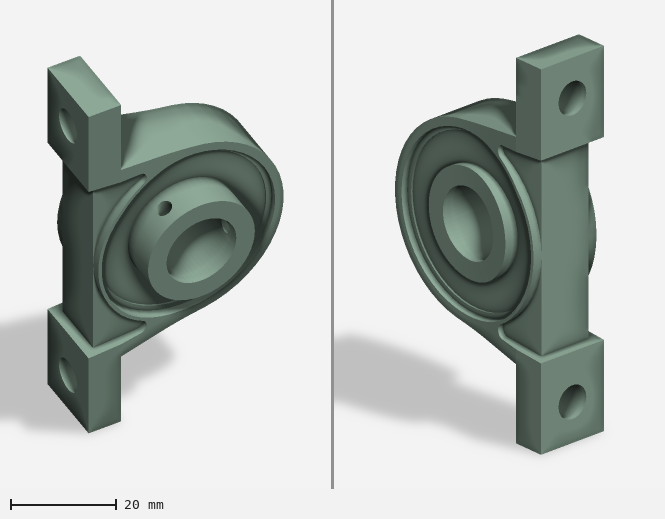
import cadquery as cq
import math

LENGTH = 80.0
FOOT_WIDTH = 16.0
FOOT_THICKNESS = 7.0
FOOT_HALF_GAP = 21.0
BOLT_DIAMETER = 7.0
BOLT_SPACING = 63.0

TOTAL_HEIGHT = 43.0
HOUSING_RADIUS = 21.0
HOUSING_WIDTH = 12.6
SHOULDER_HALF_LENGTH = 23.6
FLARE_START_Y = 26.0
FLARE_ARC_END_Y = 16.2
AXIS_Y = TOTAL_HEIGHT - HOUSING_RADIUS
AXIS_Z = LENGTH / 2

WEB_WIDTH = 12.0
WEB_BOTTOM_Y = 2.1
POCKET_SLOPE = 4.5
POCKET_FILLET = 1.5
RIM_RADIUS = AXIS_Y - WEB_BOTTOM_Y

SEAT_DIAMETER = 38.4
SEAL_DIAMETER = 36.2
COLLAR_DIAMETER = 23.0
BORE_DIAMETER = 15.0
COLLAR_END_X = 12.2
SEAT_DEPTH = 1.4
SEAL_DEPTH = 1.8
SET_SCREW_DIAMETER = 3.3
SET_SCREW_X = 8.1
SET_SCREW_ANGLES = (60, 180)
SET_SCREW_OUTER_CLEARANCE = 0.5

SIDES = (-1, 1)


def on_axis(x):
    """Workplane normal to X at x, centred on the shaft; local axes are Y and Z."""
    return cq.Workplane("YZ", origin=(x, AXIS_Y, AXIS_Z))


def shaft_cylinder(diameter, x_start, x_end):
    return on_axis(x_start).circle(diameter / 2).extrude(x_end - x_start)


def housing_outline():
    """Round top joined by tangent lines to the wider shoulders and down to the web bottom."""
    shoulder_y = FOOT_THICKNESS - AXIS_Y
    shoulder_distance = math.hypot(shoulder_y, SHOULDER_HALF_LENGTH)
    tangent_angle = (math.atan2(SHOULDER_HALF_LENGTH, shoulder_y)
                     - math.acos(HOUSING_RADIUS / shoulder_distance))
    tangent_y = HOUSING_RADIUS * math.cos(tangent_angle)
    tangent_z = HOUSING_RADIUS * math.sin(tangent_angle)
    bottom_y = WEB_BOTTOM_Y - AXIS_Y
    return (on_axis(-FOOT_WIDTH / 2)
            .moveTo(bottom_y, -SHOULDER_HALF_LENGTH)
            .lineTo(shoulder_y, -SHOULDER_HALF_LENGTH)
            .lineTo(tangent_y, -tangent_z)
            .threePointArc((HOUSING_RADIUS, 0), (tangent_y, tangent_z))
            .lineTo(shoulder_y, SHOULDER_HALF_LENGTH)
            .lineTo(bottom_y, SHOULDER_HALF_LENGTH)
            .close())


def flared_profile():
    """Cross-section in XY: narrow at the top, curving outward to the foot width."""
    narrow = HOUSING_WIDTH / 2
    wide = FOOT_WIDTH / 2
    arc_height = FLARE_START_Y - FLARE_ARC_END_Y
    slope = (wide - narrow) / (arc_height / 2 + FLARE_ARC_END_Y - FOOT_THICKNESS)
    kink = wide - slope * (FLARE_ARC_END_Y - FOOT_THICKNESS)
    return (cq.Workplane("XY")
            .moveTo(-wide, 0)
            .lineTo(wide, 0)
            .lineTo(wide, FOOT_THICKNESS)
            .lineTo(kink, FLARE_ARC_END_Y)
            .tangentArcPoint((narrow, FLARE_START_Y), relative=False)
            .lineTo(narrow, TOTAL_HEIGHT)
            .lineTo(-narrow, TOTAL_HEIGHT)
            .lineTo(-narrow, FLARE_START_Y)
            .tangentArcPoint((-kink, FLARE_ARC_END_Y), relative=False)
            .lineTo(-wide, FOOT_THICKNESS)
            .close())


def make_housing():
    body = housing_outline().extrude(FOOT_WIDTH)
    return body.intersect(flared_profile().extrude(LENGTH))


def make_foot(side):
    """Bolted foot; its inner face leans with the pocket wall."""
    inner_lean = FOOT_THICKNESS * math.tan(math.radians(POCKET_SLOPE))
    foot = (cq.Workplane("YZ", origin=(-FOOT_WIDTH / 2, 0, AXIS_Z))
            .moveTo(0, side * FOOT_HALF_GAP)
            .lineTo(0, side * LENGTH / 2)
            .lineTo(FOOT_THICKNESS, side * LENGTH / 2)
            .lineTo(FOOT_THICKNESS, side * (FOOT_HALF_GAP - inner_lean))
            .close()
            .extrude(FOOT_WIDTH))
    bolt_hole = (cq.Workplane("XZ", origin=(0, 0, AXIS_Z + side * BOLT_SPACING / 2))
                 .circle(BOLT_DIAMETER / 2)
                 .extrude(-FOOT_THICKNESS))
    return foot.cut(bolt_hole)


def pocket_outline(x):
    """Region under the bearing rim, bounded by the leaning walls and rounded ends."""
    slope = math.radians(POCKET_SLOPE)
    offset = (FOOT_HALF_GAP - AXIS_Y * math.tan(slope)) * math.cos(slope) - POCKET_FILLET
    reach = RIM_RADIUS + POCKET_FILLET
    centre_angle = math.pi / 2 - slope + math.acos(offset / reach)
    centre_y = reach * math.cos(centre_angle)
    centre_z = reach * math.sin(centre_angle)
    rim_y = RIM_RADIUS * math.cos(centre_angle)
    rim_z = RIM_RADIUS * math.sin(centre_angle)
    wall_y = centre_y + POCKET_FILLET * math.sin(slope)
    wall_z = centre_z + POCKET_FILLET * math.cos(slope)
    tip_y = centre_y + POCKET_FILLET
    return (on_axis(x)
            .moveTo(-AXIS_Y, -FOOT_HALF_GAP)
            .lineTo(wall_y, -wall_z)
            .threePointArc((tip_y, -centre_z), (rim_y, -rim_z))
            .threePointArc((-RIM_RADIUS, 0), (rim_y, rim_z))
            .threePointArc((tip_y, centre_z), (wall_y, wall_z))
            .lineTo(-AXIS_Y, FOOT_HALF_GAP)
            .close())


def cut_pockets(body):
    depth = (FOOT_WIDTH - WEB_WIDTH) / 2
    for x in (-FOOT_WIDTH / 2, WEB_WIDTH / 2):
        body = body.cut(pocket_outline(x).extrude(depth))
    return body


def cut_bearing_recesses(body):
    """Open both sides around the inner ring, with a small step at the seal."""
    for side in SIDES:
        for diameter, depth in ((SEAT_DIAMETER, SEAT_DEPTH), (SEAL_DIAMETER, SEAL_DEPTH)):
            floor_x = side * (HOUSING_WIDTH / 2 - depth)
            outer_x = side * FOOT_WIDTH / 2
            recess = shaft_cylinder(diameter, floor_x, outer_x)
            body = body.cut(recess.cut(shaft_cylinder(COLLAR_DIAMETER, floor_x, outer_x)))
    return body


def add_collar(body):
    body = body.union(shaft_cylinder(COLLAR_DIAMETER, 0, COLLAR_END_X))
    body = body.cut(shaft_cylinder(BORE_DIAMETER, -FOOT_WIDTH / 2, COLLAR_END_X))
    for angle in SET_SCREW_ANGLES:
        direction = cq.Vector(0, -math.cos(math.radians(angle)), math.sin(math.radians(angle)))
        screw_hole = cq.Solid.makeCylinder(
            SET_SCREW_DIAMETER / 2,
            COLLAR_DIAMETER / 2 + SET_SCREW_OUTER_CLEARANCE,
            cq.Vector(SET_SCREW_X, AXIS_Y, AXIS_Z),
            direction,
        )
        body = body.cut(cq.Workplane(obj=screw_hole))
    return body


result = make_housing()
for foot_side in SIDES:
    result = result.union(make_foot(foot_side))
result = cut_pockets(result)
result = cut_bearing_recesses(result)
result = add_collar(result)